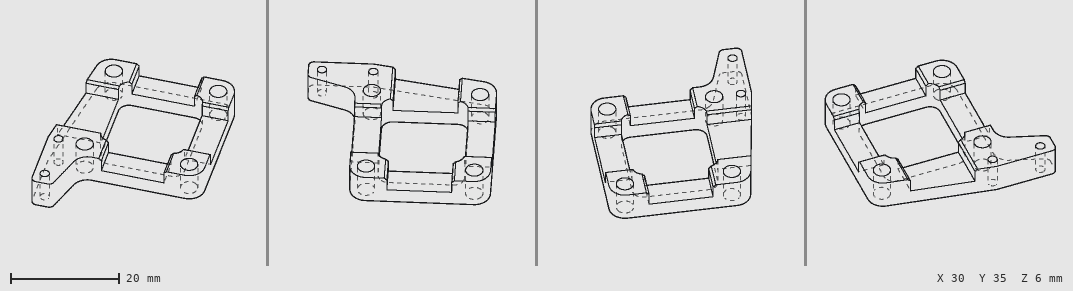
import cadquery as cq

width = 30.0
length = 35.0
thickness = 6.0

frame_side = 26.0
window_side = 16.0
hole_pitch = 20.0
hole_diameter = 3.2
outer_radius = 3.0
window_radius = 2.0

channel_width = 11.97
channel_floor = thickness / 2
channel_chamfer = 0.5

arm_tip_width = 4.0
arm_radius = 1.0
arm_hole_diameter = 1.7
arm_hole_inset = 2.0
arm_hole_spacing = 9.5

half_frame = frame_side / 2
half_pitch = hole_pitch / 2
arm_left = half_frame - width
arm_bottom = half_frame - length
arm_tip_right = arm_left + arm_tip_width

outline = [
    ((half_frame, half_frame), outer_radius),
    ((-half_frame, half_frame), outer_radius),
    ((arm_left, -half_pitch), arm_radius),
    ((arm_left, arm_bottom), arm_radius),
    ((arm_tip_right, arm_bottom), arm_radius),
    ((-half_pitch, -half_frame), outer_radius),
    ((half_frame, -half_frame), outer_radius),
]


def make_body():
    body = cq.Workplane("XY").polyline([point for point, _ in outline]).close().extrude(thickness)
    for radius in (outer_radius, arm_radius):
        edges = [
            body.edges(cq.NearestToPointSelector((x, y, thickness / 2))).val()
            for (x, y), corner_radius in outline
            if corner_radius == radius
        ]
        body = body.newObject([body.val().fillet(radius, edges)])
    return body


def make_window():
    window = cq.Workplane("XY").rect(window_side, window_side).extrude(thickness)
    return window.edges("|Z").fillet(window_radius)


def make_channel(plane):
    """Channel along the plane's normal, with chamfered top edges."""
    half_width = channel_width / 2
    half_mouth = half_width + channel_chamfer
    chamfer_start = thickness - channel_chamfer
    return (
        cq.Workplane(plane)
        .moveTo(-half_width, channel_floor)
        .lineTo(half_width, channel_floor)
        .lineTo(half_width, chamfer_start)
        .lineTo(half_mouth, thickness)
        .lineTo(-half_mouth, thickness)
        .lineTo(-half_width, chamfer_start)
        .close()
        .extrude(length, both=True)
    )


def make_holes(centres, diameter):
    return cq.Workplane("XY").pushPoints(centres).circle(diameter / 2).extrude(thickness)


frame_holes = [(x, y) for x in (-half_pitch, half_pitch) for y in (-half_pitch, half_pitch)]
arm_hole_x = arm_left + arm_hole_inset
arm_holes = [(arm_hole_x, -half_pitch), (arm_hole_x, -half_pitch - arm_hole_spacing)]

result = (
    make_body()
    .cut(make_window())
    .cut(make_channel("XZ"))
    .cut(make_channel("YZ"))
    .cut(make_holes(frame_holes, hole_diameter))
    .cut(make_holes(arm_holes, arm_hole_diameter))
)